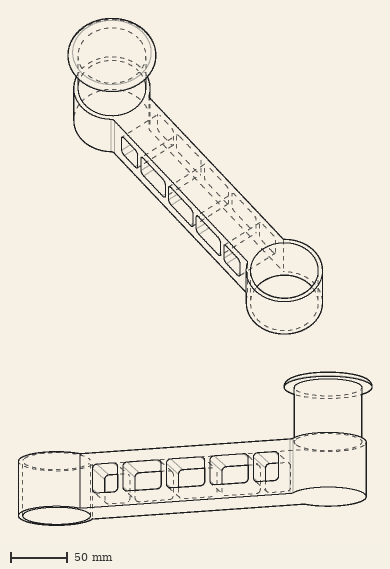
import cadquery as cq
import math

socket_spacing = 250.0
socket_radius = 34.0
bore_radius = 30.0
arm_height = 50.0
arm_width = 40.0
root_fillet = 4.0

pin_top = 100.0
cap_radius = 39.0
cap_thickness = 5.0
cap_round = 4.2

window_row_center = 125.5
window_row_length = 171.0
window_height = 26.5
window_center_z = 26.0
window_corner_radius = 4.0
window_pitch = 40.0
rib_thickness = 5.0
rib_count = 4


def cylinder(x, radius, bottom, height):
    """Upright cylinder on the arm's centre line."""
    return cq.Workplane("XY", origin=(x, 0, bottom)).circle(radius).extrude(height)


def make_window(left, right):
    """Cutter for one rounded window, running right through the arm along Y."""
    return (
        cq.Workplane("XY")
        .box(right - left, 2 * arm_width, window_height)
        .edges("|Y")
        .fillet(window_corner_radius)
        .translate(((left + right) / 2, 0, window_center_z))
    )


def make_arm():
    """Straight bar between the socket centres, pierced by the windows."""
    middle = socket_spacing / 2
    arm = (
        cq.Workplane("XY")
        .center(middle, 0)
        .rect(socket_spacing, arm_width)
        .extrude(arm_height)
    )
    left = window_row_center - window_row_length / 2
    for i in range(rib_count):
        rib_x = window_row_center + (i - (rib_count - 1) / 2) * window_pitch
        arm = arm.cut(make_window(left, rib_x - rib_thickness / 2))
        left = rib_x + rib_thickness / 2
    return arm.cut(make_window(left, window_row_center + window_row_length / 2))


def make_pin():
    """Solid pin filling its socket, with a round-edged cap on top."""
    cap = cylinder(0, cap_radius, pin_top, cap_thickness).faces(">Z").edges().fillet(cap_round)
    return cylinder(0, bore_radius, 0, pin_top).union(cap)


def make_body():
    """Arm and pin socket blended together, plus the open far socket."""
    near_socket = cylinder(0, socket_radius, 0, arm_height)
    far_socket = cylinder(socket_spacing, socket_radius, 0, arm_height)
    far_bore = cylinder(socket_spacing, bore_radius, 0, arm_height)

    root_x = math.sqrt(socket_radius**2 - (arm_width / 2) ** 2)
    margin = 0.3
    root_corners = cq.selectors.BoxSelector(
        (root_x - margin, -arm_width, -margin),
        (root_x + margin, arm_width, arm_height + margin),
    )
    upright = cq.selectors.ParallelDirSelector(cq.Vector(0, 0, 1))
    blended = make_arm().union(near_socket).edges(root_corners & upright).fillet(root_fillet)
    return blended.union(far_socket).cut(far_bore)


result = make_body().union(make_pin())